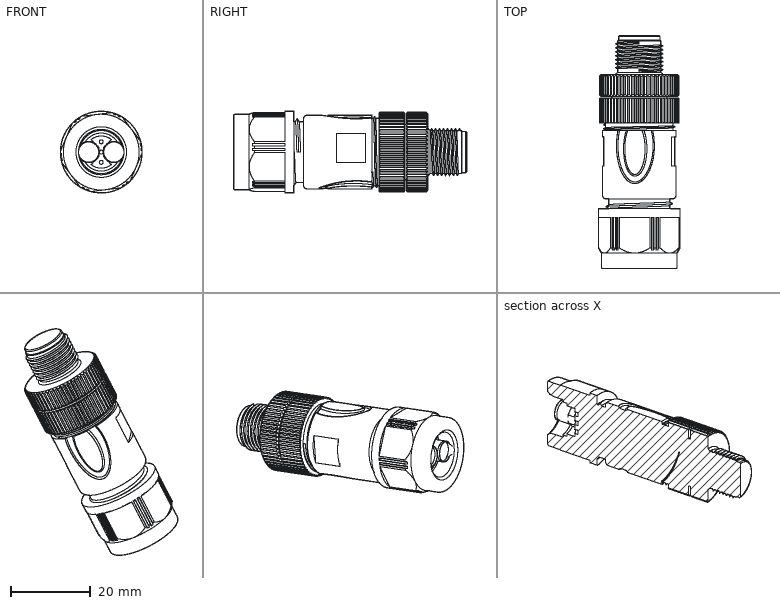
import cadquery as cq
import math

LENGTH = 58.4
TILT = 7.0

TIP_DIA = 10.4
PLUG_DIA = 10.8
TIP_END = 1.15
TIP_CHAMFER = 0.3
FLARE_START = 9.2
FLARE_DIA = 11.9
FLARE_OVERLAP = 0.6

KNURL_DIA = 20.05
KNURL_DEPTH = 0.4
KNURL_COUNT = 60
TOOTH_RISE = 0.3
RING_1_START = 9.75
RING_1_END = 15.3
RING_1_CHAMFER = 0.45
RING_2_START = 15.65
RING_2_END = 21.95
RING_2_CHAMFER = 0.2
RING_GAP_DIA = 13.9

SLEEVE_THREAD_DIA = 17.0
SLEEVE_START = 23.75
SLEEVE_END = 40.95
SLEEVE_DIA = 18.5
SLEEVE_FILLET = 1.0
FLAT_START = 25.4
FLAT_SIZE = 7.25

EMBLEM_DEPTH = 0.45
RECESS_CENTER = 27.6
RECESS_HALF_LENGTH = 9.45
RECESS_HALF_WIDTH = 4.8
PLATE_CENTER = 28.4
PLATE_HALF_LENGTH = 6.4
PLATE_HALF_WIDTH = 2.55
EMBLEM_SLOPE = 0.4

NECK_DIA = 15.3
NUT_START = 43.35
COLLAR_END = 45.55
NUT_HEX_END = 54.5
NUT_DIA = 20.5
HEX_ACROSS_FLATS = 19.0
HEX_CHAMFER_LENGTH = 1.3
HEX_SIDES = 6
HALF_SIDE_ANGLE = 180 / HEX_SIDES
CORNER_GROOVE_ANGLE = 3.4
CORNER_GROOVE_SIZE = 0.6
END_DIA = HEX_ACROSS_FLATS
END_FILLET = 0.4

MOUTH_DIA = 12.7
ENTRY_DIA = 11.4
LEDGE_DIA = 10.8
MOUTH_DEPTH = 0.65
TUBE_DEPTH = 1.75
LEDGE_DEPTH = 4.7
SOCKET_DIA = 5.1
SOCKET_OFFSET = 3.15
SOCKET_DEPTH = 2.4
SOCKET_WALL = 0.1
POCKET_DIA = 9.5
POCKET_DEPTH = 5.85
WELL_DIA = 8.05
WELL_DEPTH = 8.2
WELL_WAIST_WIDTH = 1.1
WELL_WAIST_HEIGHT = 2.35
PIN_HOLE_DIA = 1.0
PIN_HOLE_OFFSET = 2.55
PIN_HOLE_DEPTH = 1.0

FINE_PITCH = 1.0
PLUG_CREST_DIA = 11.85
PLUG_THREAD_START = 1.85
PLUG_THREAD_ANGLE = 90
PLUG_THREAD_TURNS = 7
SLEEVE_CREST_DIA = 17.85
SLEEVE_THREAD_START = 22.35
SLEEVE_THREAD_ANGLE = 180
SLEEVE_THREAD_TURNS = 1.4
GLAND_PITCH = 1.5
GLAND_CREST_DIA = 16.75
GLAND_THREAD_START = 42.1
GLAND_THREAD_ANGLE = 0
GLAND_THREAD_TURNS = 1
THREAD_HALF_BASE = 0.36
THREAD_ROOT_SINK = 0.1


def section(station):
    """Workplane across the axis whose extrusions run towards -Y."""
    return cq.Workplane("XZ", origin=(0, LENGTH / 2 - station, 0))


def cylinder(start, end, diameter):
    return section(start).circle(diameter / 2).extrude(end - start)


def turned(profile):
    """Solid of revolution about Y from (station, diameter) pairs."""
    points = [(diameter / 2, LENGTH / 2 - station) for station, diameter in profile]
    points = [(0, points[0][1])] + points + [(0, points[-1][1])]
    return cq.Workplane("XY").polyline(points).close().revolve(360, (0, 0, 0), (0, 1, 0))


def about_axis(solid, angle):
    """Turn a solid about Y, from +X towards +Z for a positive angle."""
    return solid.rotate((0, 0, 0), (0, 1, 0), -angle)


def polar(radius, angle):
    return (radius * math.cos(math.radians(angle)), radius * math.sin(math.radians(angle)))


def thread_ridge(start, start_angle, turns, pitch, core_dia, crest_dia):
    """Right-handed triangular ridge; its start angle is counted from +X."""
    root = core_dia / 2 - THREAD_ROOT_SINK
    half_base = THREAD_HALF_BASE * pitch
    path = cq.Wire.makeHelix(pitch, pitch * turns, root)
    triangle = [(root, -half_base), (crest_dia / 2, 0), (root, half_base)]
    ridge = cq.Workplane("XZ").polyline(triangle).close().sweep(cq.Workplane(obj=path), isFrenet=True)
    ridge = ridge.rotate((0, 0, 0), (1, 0, 0), 90).translate((0, LENGTH / 2 - start, 0))
    return about_axis(ridge, start_angle)


def knurled_ring(start, end, chamfer):
    tip = KNURL_DIA / 2
    root = tip - KNURL_DEPTH
    pitch = 360 / KNURL_COUNT
    outline = []
    for tooth in range(KNURL_COUNT):
        first = tooth * pitch
        outline.append(polar(root, first))
        outline.append(polar(tip, first + TOOTH_RISE * pitch))
        outline.append(polar(tip, first + (1 - TOOTH_RISE) * pitch))
    blank = section(start).polyline(outline).close().extrude(end - start)
    chamfered_dia = KNURL_DIA - 2 * chamfer
    envelope = turned([
        (start, chamfered_dia),
        (start + chamfer, KNURL_DIA),
        (end - chamfer, KNURL_DIA),
        (end, chamfered_dia),
    ])
    return blank.intersect(envelope)


def plug():
    return turned([
        (0, TIP_DIA - 2 * TIP_CHAMFER),
        (TIP_CHAMFER, TIP_DIA),
        (TIP_END, TIP_DIA),
        (TIP_END + (PLUG_DIA - TIP_DIA) / 2, PLUG_DIA),
        (FLARE_START, PLUG_DIA),
        (RING_1_START, FLARE_DIA),
        (RING_1_START + FLARE_OVERLAP, FLARE_DIA),
    ])


def emblem_oval(center, half_length, half_width):
    """Upright oval prism through the upper half of the sleeve."""
    plane = cq.Workplane("XY", origin=(0, LENGTH / 2 - center, 0))
    return plane.ellipse(half_width, half_length).extrude(SLEEVE_DIA)


def emblem_ring():
    """Cutter for the sunken ring between the recess outline and the plate."""
    shell = cylinder(SLEEVE_START, SLEEVE_END, SLEEVE_DIA)
    shell = shell.cut(cylinder(SLEEVE_START, SLEEVE_END, SLEEVE_DIA - 2 * EMBLEM_DEPTH))
    ring = emblem_oval(RECESS_CENTER, RECESS_HALF_LENGTH, RECESS_HALF_WIDTH)
    ring = ring.cut(emblem_oval(PLATE_CENTER, PLATE_HALF_LENGTH, PLATE_HALF_WIDTH))
    ring = ring.intersect(shell)

    floor = ring.faces("%CYLINDER").faces("<Z")
    ovals = [edge for edge in floor.edges().vals() if edge.Length() > PLATE_HALF_LENGTH]
    return ring.newObject(ovals).chamfer(EMBLEM_SLOPE)


def sleeve():
    body = cylinder(SLEEVE_START, SLEEVE_END, SLEEVE_DIA).faces("<Y").edges().fillet(SLEEVE_FILLET)

    flat_distance = math.sqrt((SLEEVE_DIA / 2) ** 2 - (FLAT_SIZE / 2) ** 2)
    for side in (1, -1):
        flat = section(FLAT_START).center(side * (flat_distance + SLEEVE_DIA / 2), 0)
        body = body.cut(flat.rect(SLEEVE_DIA, SLEEVE_DIA).extrude(FLAT_SIZE))

    for angle in (0, 180):
        body = body.cut(about_axis(emblem_ring(), angle))

    return about_axis(body, TILT)


def hex_nut():
    length = NUT_HEX_END - COLLAR_END
    across_corners = HEX_ACROSS_FLATS / math.cos(math.radians(HALF_SIDE_ANGLE))
    hexagon = section(COLLAR_END).polygon(HEX_SIDES, across_corners).extrude(length)
    envelope = turned([
        (COLLAR_END, NUT_DIA),
        (NUT_HEX_END - HEX_CHAMFER_LENGTH, NUT_DIA),
        (NUT_HEX_END, HEX_ACROSS_FLATS),
    ])
    nut = hexagon.intersect(envelope)

    groove = section(COLLAR_END).center(NUT_DIA / 2, 0)
    groove = groove.rect(CORNER_GROOVE_SIZE, CORNER_GROOVE_SIZE).extrude(length)
    for corner in range(HEX_SIDES):
        for side in (1, -1):
            nut = nut.cut(about_axis(groove, 2 * corner * HALF_SIDE_ANGLE + side * CORNER_GROOVE_ANGLE))

    return about_axis(nut, TILT)


def gland_nut():
    collar = cylinder(NUT_START, COLLAR_END, NUT_DIA)
    end = cylinder(NUT_HEX_END, LENGTH, END_DIA).faces("<Y").edges().fillet(END_FILLET)
    return collar.union(hex_nut()).union(end)


def cable_entry():
    """Cutter for the stepped bore, the two round sockets and the bow-tie well."""
    entry = turned([
        (LENGTH - LEDGE_DEPTH, LEDGE_DIA),
        (LENGTH - TUBE_DEPTH, LEDGE_DIA),
        (LENGTH - MOUTH_DEPTH, ENTRY_DIA),
        (LENGTH, MOUTH_DIA),
    ])

    pocket = cylinder(LENGTH - POCKET_DEPTH, LENGTH - LEDGE_DEPTH, POCKET_DIA)
    waist_x = WELL_WAIST_WIDTH / 2
    waist_z = WELL_WAIST_HEIGHT / 2
    reach = WELL_DIA
    bow_tie = [
        (waist_x, waist_z), (waist_x + reach, waist_z + reach),
        (-waist_x - reach, waist_z + reach), (-waist_x, waist_z),
        (-waist_x, -waist_z), (-waist_x - reach, -waist_z - reach),
        (waist_x + reach, -waist_z - reach), (waist_x, -waist_z),
    ]
    well = section(LENGTH - WELL_DEPTH).polyline(bow_tie).close().extrude(WELL_DEPTH - LEDGE_DEPTH)
    well = well.intersect(cylinder(LENGTH - WELL_DEPTH, LENGTH, WELL_DIA))

    socket_centers = [(-SOCKET_OFFSET, 0), (SOCKET_OFFSET, 0)]
    tubes = section(LENGTH - WELL_DEPTH).pushPoints(socket_centers)
    tubes = tubes.circle(SOCKET_DIA / 2 + SOCKET_WALL).extrude(WELL_DEPTH - TUBE_DEPTH)
    sockets = section(LENGTH - SOCKET_DEPTH).pushPoints(socket_centers)
    sockets = sockets.circle(SOCKET_DIA / 2).extrude(SOCKET_DEPTH - MOUTH_DEPTH)

    pin_centers = [(0, -PIN_HOLE_OFFSET), (0, 0), (0, PIN_HOLE_OFFSET)]
    pin_holes = section(LENGTH - WELL_DEPTH - PIN_HOLE_DEPTH).pushPoints(pin_centers)
    pin_holes = pin_holes.circle(PIN_HOLE_DIA / 2).extrude(PIN_HOLE_DEPTH)

    return entry.union(pocket).union(well).cut(tubes).union(sockets).union(pin_holes)


plug_thread = thread_ridge(
    PLUG_THREAD_START, PLUG_THREAD_ANGLE, PLUG_THREAD_TURNS, FINE_PITCH, PLUG_DIA, PLUG_CREST_DIA
)
sleeve_thread = thread_ridge(
    SLEEVE_THREAD_START, SLEEVE_THREAD_ANGLE, SLEEVE_THREAD_TURNS,
    FINE_PITCH, SLEEVE_THREAD_DIA, SLEEVE_CREST_DIA
)
gland_thread = thread_ridge(
    GLAND_THREAD_START, GLAND_THREAD_ANGLE, GLAND_THREAD_TURNS, GLAND_PITCH, NECK_DIA, GLAND_CREST_DIA
)

front = (
    plug()
    .union(plug_thread)
    .union(knurled_ring(RING_1_START, RING_1_END, RING_1_CHAMFER))
    .union(cylinder(RING_1_END, RING_2_START, RING_GAP_DIA))
)
rear = (
    cylinder(SLEEVE_END, NUT_START, NECK_DIA)
    .union(gland_nut().cut(cable_entry()))
    .union(gland_thread)
)
middle = (
    cylinder(RING_2_END, SLEEVE_START, SLEEVE_THREAD_DIA)
    .union(sleeve_thread)
    .union(sleeve())
    .union(knurled_ring(RING_2_START, RING_2_END, RING_2_CHAMFER))
)
result = front.union(middle).union(rear)